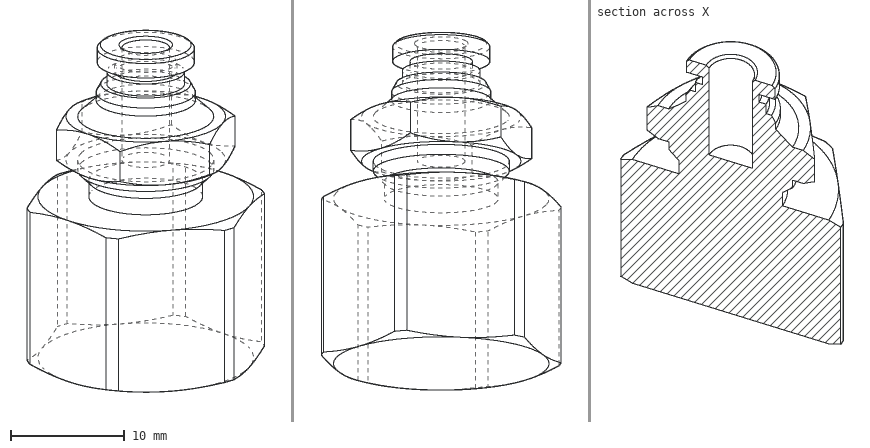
import cadquery as cq
import math


body_flats = 19.0
body_corner_dia = 21.3
body_height = 15.0
body_chamfer_angle = 20

nut_flats = 14.05
nut_bottom = 18.4
nut_top = 22.45
nut_chamfer_angle = 30

stem_dia = 10.05
shoulder_dia = 12.0
shoulder_bottom = 17.5

sleeve_base_dia = shoulder_dia
sleeve_dia = 8.75
sleeve_cone_top = 23.95
sleeve_chamfer_start = 24.7
sleeve_top_dia = 7.92
sleeve_top = 25.5

total_height = 29.1
collar_dia = 6.87
collar_top = 26.63
neck_dia = 5.5
flange_dia = 8.58
flange_bottom = 27.47
flange_chamfer = 0.3

bore_dia = 4.2
bore_bottom = nut_bottom
bore_chamfer = 0.25


def across_corners(across_flats):
    """Sharp corner-to-corner width of a hexagon."""
    return across_flats / math.cos(math.radians(30))


def hex_prism(across_flats, bottom, top):
    """Hexagonal prism with corners on the Y axis and flats facing +X and -X."""
    return (
        cq.Workplane("XY")
        .workplane(offset=bottom)
        .polygon(6, across_corners(across_flats))
        .extrude(top - bottom)
        .rotate((0, 0, 0), (0, 0, 1), 30)
    )


def chamfered_hex(across_flats, corner_dia, bottom, top, chamfer_angle):
    """Hex prism trimmed by a round blank whose ends are coned down to the flats."""
    face_radius = across_flats / 2
    corner_radius = corner_dia / 2
    drop = (corner_radius - face_radius) * math.tan(math.radians(chamfer_angle))
    blank = (
        cq.Workplane("XZ")
        .moveTo(0, bottom)
        .lineTo(face_radius, bottom)
        .lineTo(corner_radius, bottom + drop)
        .lineTo(corner_radius, top - drop)
        .lineTo(face_radius, top)
        .lineTo(0, top)
        .close()
        .revolve(360, (0, 0, 0), (0, 1, 0))
    )
    return hex_prism(across_flats, bottom, top).intersect(blank)


def turned_core():
    """Turned steps from the base to the button face, as one revolved profile."""
    stem_top = shoulder_bottom - (shoulder_dia - stem_dia) / 2
    return (
        cq.Workplane("XZ")
        .moveTo(0, 0)
        .lineTo(stem_dia / 2, 0)
        .lineTo(stem_dia / 2, stem_top)
        .lineTo(shoulder_dia / 2, shoulder_bottom)
        .lineTo(shoulder_dia / 2, nut_bottom)
        .lineTo(sleeve_base_dia / 2, nut_top)
        .lineTo(sleeve_dia / 2, sleeve_cone_top)
        .lineTo(sleeve_dia / 2, sleeve_chamfer_start)
        .lineTo(sleeve_top_dia / 2, sleeve_top)
        .lineTo(collar_dia / 2, sleeve_top)
        .lineTo(collar_dia / 2, collar_top)
        .lineTo(neck_dia / 2, collar_top)
        .lineTo(neck_dia / 2, flange_bottom)
        .lineTo(flange_dia / 2, flange_bottom)
        .lineTo(flange_dia / 2, total_height - flange_chamfer)
        .lineTo(flange_dia / 2 - flange_chamfer, total_height)
        .lineTo(0, total_height)
        .close()
        .revolve(360, (0, 0, 0), (0, 1, 0))
    )


def tube_bore():
    """Blind tube hole with a chamfered mouth."""
    radius = bore_dia / 2
    return (
        cq.Workplane("XZ")
        .moveTo(0, bore_bottom)
        .lineTo(radius, bore_bottom)
        .lineTo(radius, total_height - bore_chamfer)
        .lineTo(radius + bore_chamfer, total_height)
        .lineTo(0, total_height)
        .close()
        .revolve(360, (0, 0, 0), (0, 1, 0))
    )


body = chamfered_hex(body_flats, body_corner_dia, 0, body_height, body_chamfer_angle)
nut = chamfered_hex(nut_flats, across_corners(nut_flats), nut_bottom, nut_top, nut_chamfer_angle)

result = body.union(nut).union(turned_core()).cut(tube_bore())